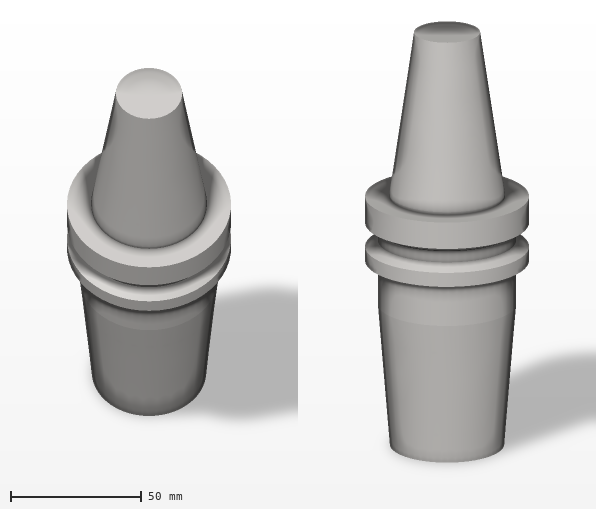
import cadquery as cq

total_height = 167.0
flange_radius = 63.0 / 2

shank_height = 65.5
shank_top_radius = 25.4 / 2
shank_base_radius = 44.5 / 2
relief_height = 1.0

upper_rim_height = 10.7
lower_rim_height = 5.7
flange_height = 26.0
groove_radius = 53.1 / 2
groove_floor_height = 4.5
groove_flank_height = (flange_height - upper_rim_height - lower_rim_height - groove_floor_height) / 2

collar_radius = 53.1 / 2
collar_height = 17.5
nose_tip_radius = 44.0 / 2

shank_base_z = total_height - shank_height
flange_top_z = shank_base_z - relief_height
groove_top_z = flange_top_z - upper_rim_height
floor_top_z = groove_top_z - groove_flank_height
floor_bottom_z = floor_top_z - groove_floor_height
groove_bottom_z = floor_bottom_z - groove_flank_height
flange_bottom_z = flange_top_z - flange_height
collar_bottom_z = flange_bottom_z - collar_height

profile = [
    (0, 0),
    (nose_tip_radius, 0),
    (collar_radius, collar_bottom_z),
    (collar_radius, flange_bottom_z),
    (flange_radius, flange_bottom_z),
    (flange_radius, groove_bottom_z),
    (groove_radius, floor_bottom_z),
    (groove_radius, floor_top_z),
    (flange_radius, groove_top_z),
    (flange_radius, flange_top_z),
    (shank_base_radius, flange_top_z),
    (shank_base_radius, shank_base_z),
    (shank_top_radius, total_height),
    (0, total_height),
]

result = cq.Workplane("XZ").polyline(profile).close().revolve(360, (0, 0, 0), (0, 1, 0))